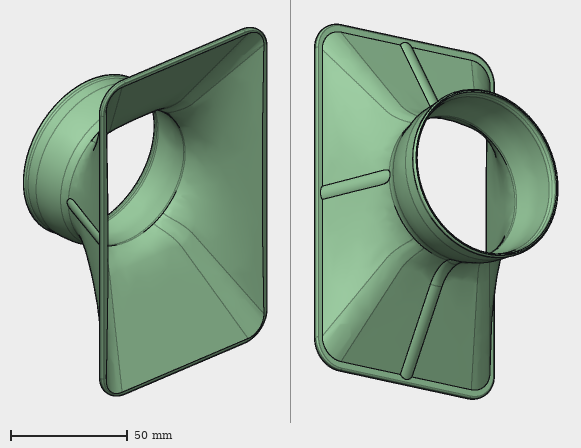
import cadquery as cq
import math

length = 64.5
wall = 1.18

flange_width = 92.7
flange_height = 157.1
flange_thickness = 2.5
flange_corner_radius = 12.7
flange_edge_fillet = 0.8
flange_start = length - flange_thickness

lip_radius = 37.5
lip_crest_x = 1.0
lip_front_radius = 36.9
lip_back_x = 2.0
lip_back_radius = 37.2
lip_end = 3.0
neck_radius = 36.8
neck_straight_end = 8.3
neck_inflection = 21.7
throat_radius = 33.3
throat_x = 26.0

mouth_radius = 36.3
mouth_straight_end = 1.0
mouth_inflection = 2.5
mouth_end = 4.1
bore_radius = 35.2
bore_inflection = 24.8

bend_radius = 15.7
top_angle = math.radians(56.3)
side_angle = math.radians(17)
top_seam_angle = math.radians(27)
side_seam_angle = math.radians(38)
flare_corner_radius = 9.7
bend_steps = 5
slope_steps = 5
straight_tolerance = 0.002

rib_height = 1.0
rib_radius = 5.3
rib_depth = rib_radius - rib_height
rib_start = 18.9
rib_end = flange_start + flange_thickness / 4
bar_end = length + rib_radius


def bend_end(angle, depth):
    """X where the bend at the throat becomes a straight slope, at a depth below the outer skin."""
    return throat_x + (bend_radius + depth) * math.sin(angle)


def flare_half(x, angle, depth):
    """Half size of the flare at x, for a skin lying at a depth below the outer one."""
    radius = bend_radius + depth
    run = x - throat_x
    start = throat_radius - depth
    if x < bend_end(angle, depth):
        return start + radius - math.sqrt(radius**2 - run**2)
    return start + (run - radius * math.tan(angle / 2)) * math.tan(angle)


def ease_in(profile, start, end, inflection_x):
    """Add an S curve from a level start: two tangent arcs meeting on the chord, level again at the end."""
    share = (inflection_x - start[0]) / (end[0] - start[0])
    inflection = (inflection_x, start[1] + (end[1] - start[1]) * share)
    return profile.tangentArcPoint(inflection, relative=False).tangentArcPoint(end, relative=False)


def revolve_about_axis(profile):
    return profile.lineTo(throat_x, 0).close().revolve(360, (0, 0, 0), (1, 0, 0))


def neck_outside():
    """Rolled lip, short cylinder and S curve down to the throat."""
    neck_start = (neck_straight_end, neck_radius)
    profile = (
        cq.Workplane("XY")
        .lineTo(0, lip_front_radius)
        .threePointArc((lip_crest_x, lip_radius), (lip_back_x, lip_back_radius))
        .tangentArcPoint((lip_end, neck_radius), relative=False)
        .lineTo(*neck_start)
    )
    profile = ease_in(profile, neck_start, (throat_x, throat_radius), neck_inflection)
    return revolve_about_axis(profile)


def neck_inside():
    """Mouth eased into the bore, then a bore that curves in to the throat."""
    mouth_start = (mouth_straight_end, mouth_radius)
    bore_start = (mouth_end, bore_radius)
    profile = cq.Workplane("XY").lineTo(0, mouth_radius).lineTo(*mouth_start)
    profile = ease_in(profile, mouth_start, bore_start, mouth_inflection)
    profile = ease_in(profile, bore_start, (throat_x, throat_radius - wall), bore_inflection)
    return revolve_about_axis(profile)


def face_edge(x, start, middle, end):
    """Edge in the plane at x through three (y, z) points: an arc, or a line where they are in line."""
    start, middle, end = (cq.Vector(x, y, z) for y, z in (start, middle, end))
    bulge = (middle - (start + end) * 0.5).Length
    if bulge < straight_tolerance:
        return cq.Edge.makeLine(start, end)
    return cq.Edge.makeThreePointArc(start, middle, end)


def flare_section(x, depth):
    """Closed wire across the flare: four faces joined by four corner arcs."""
    throat = throat_radius - depth
    top_end = flare_half(flange_start, top_angle, depth)
    side_end = flare_half(flange_start, side_angle, depth)
    corner = flare_corner_radius - depth
    top = flare_half(x, top_angle, depth)
    side = flare_half(x, side_angle, depth)

    bend_share = min(1, (x - throat_x) / (bend_end(top_angle, depth) - throat_x))
    top_seam_start = throat * math.cos(top_seam_angle)
    top_seam_z = top - (throat - top_seam_start) * (1 - bend_share)

    z_share = (top_seam_z - top_seam_start) / (top_end - top_seam_start)
    y_share = (side - throat) / (side_end - throat)

    def point_between(angle, y_end, z_end):
        y_start = throat * math.sin(angle)
        z_start = throat * math.cos(angle)
        return (y_start + (y_end - y_start) * y_share, z_start + (z_end - z_start) * z_share)

    corner_inset = corner * (1 - math.sqrt(0.5))
    mid_angle = (top_seam_angle + side_seam_angle) / 2
    top_y, top_z = point_between(top_seam_angle, side_end - corner, top_end)
    mid_y, mid_z = point_between(mid_angle, side_end - corner_inset, top_end - corner_inset)
    side_y, side_z = point_between(side_seam_angle, side_end, top_end - corner)

    quarter = [(0, top), (top_y, top_z), (mid_y, mid_z), (side_y, side_z), (side, 0)]
    right_half = quarter + [(y, -z) for y, z in reversed(quarter[:-1])]
    outline = right_half + [(-y, z) for y, z in reversed(right_half[1:-1])]

    count = len(outline)
    edges = [
        face_edge(x, outline[i - 1], outline[i], outline[(i + 1) % count])
        for i in range(0, count, 2)
    ]
    return cq.Wire.assembleEdges(edges)


def flare_body(depth, end):
    """Loft through the bend and on along the straight slopes to the end."""
    straight_start = bend_end(top_angle, depth)
    bend_step = (straight_start - throat_x) / bend_steps
    slope_step = (end - straight_start) / slope_steps
    stations = [throat_x + bend_step * i for i in range(bend_steps)]
    stations += [straight_start + slope_step * i for i in range(slope_steps + 1)]
    return cq.Workplane(cq.Solid.makeLoft([flare_section(x, depth) for x in stations]))


def flange():
    return (
        cq.Workplane("YZ", origin=(flange_start, 0, 0))
        .rect(flange_width, flange_height)
        .extrude(flange_thickness)
        .edges("|X")
        .fillet(flange_corner_radius)
        .faces("<X or >X")
        .edges()
        .fillet(flange_edge_fillet)
    )


def rib(path):
    """Round bar along a path in the XZ plane, clipped inside the flange."""
    wire = path.val()
    end_plane = cq.Plane(origin=wire.startPoint().toTuple(), normal=wire.tangentAt(0).toTuple())
    bar = cq.Workplane(end_plane).circle(rib_radius).sweep(path)
    clip = cq.Workplane("YZ").rect(flange_height, flange_height).extrude(rib_end)
    return bar.intersect(clip)


def top_rib():
    """Rib on the +Z face that follows the bend."""
    straight_start = bend_end(top_angle, rib_depth)

    def centre(x):
        return (x, flare_half(x, top_angle, rib_depth))

    path = (
        cq.Workplane("XZ")
        .moveTo(rib_start, throat_radius - rib_depth)
        .lineTo(*centre(throat_x))
        .tangentArcPoint(centre(straight_start), relative=False)
        .lineTo(*centre(bar_end))
        .wire()
    )
    return rib(path)


def side_rib():
    """Straight rib that runs out on the throat, built on +Z and turned to +Y."""
    end_z = flare_half(bar_end, side_angle, rib_depth)
    start_z = end_z - (bar_end - rib_start) * math.tan(side_angle)
    path = cq.Workplane("XZ").moveTo(rib_start, start_z).lineTo(bar_end, end_z).wire()
    return rib(path).rotate((0, 0, 0), (1, 0, 0), -90)


body = neck_outside().union(flare_body(0, flange_start)).union(flange())
for face_rib in (top_rib(), side_rib()):
    for turn in (0, 180):
        body = body.union(face_rib.rotate((0, 0, 0), (1, 0, 0), turn))

cavity = neck_inside().union(flare_body(wall, length))
result = body.cut(cavity)